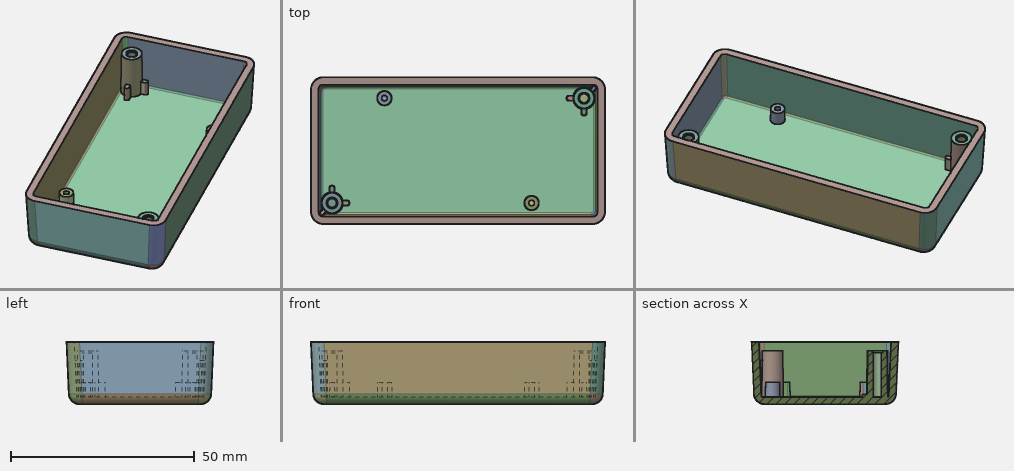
import cadquery as cq
import math

length = 80.0
width = 40.0
height = 17.0
wall = 2.1
floor = 2.0
root = floor / 2
wall_draft = 2.5
corner_radius = 3.5
bottom_radius = 3.0
inner_corner_radius = 1.2
inner_bottom_radius = 0.5

post_draft = 1.0
post_y = 14.2
tall_post_x = 34.2
tall_post_top = 14.6
tall_post_diameter = 5.5
short_post_x = 20.0
short_post_top = 6.0
short_post_diameter = 3.8

tall_hole_diameter = 2.5
tall_counterbore_diameter = 3.0
tall_counterbore_depth = 0.5
short_hole_diameter = 1.5

rib_width = 1.5
rib_reach = 4.8
low_rib_top = short_post_top
corner_rib_top = 12.0
rib_draft = 1.5
low_rib_turns = (135, 225)


def tapered_block(size_x, size_y, bottom, edge_radius, floor_radius):
    """Block from the rim down to `bottom`, narrowing downward, with rounded edges."""
    block = (
        cq.Workplane("XY", origin=(0, 0, height))
        .rect(size_x, size_y)
        .extrude(bottom - height, taper=wall_draft)
    )
    block = block.edges("not(#Z)").fillet(edge_radius)
    return block.faces("<Z").edges().fillet(floor_radius)


def make_tray():
    outside = tapered_block(length, width, 0, corner_radius, bottom_radius)
    cavity = tapered_block(
        length - 2 * wall, width - 2 * wall, floor, inner_corner_radius, inner_bottom_radius
    )
    return outside.cut(cavity)


def make_post(x, y, top, top_diameter):
    """Round post from the root level up to `top`, drafted from its top diameter."""
    top_radius = top_diameter / 2
    root_radius = top_radius + (top - root) * math.tan(math.radians(post_draft))
    cone = cq.Solid.makeCone(root_radius, top_radius, top - root, pnt=cq.Vector(x, y, root))
    return cq.Workplane(cone)


def make_rib(x, y, angle, top):
    """Rib up to `top`, running from the post axis at (x, y) in the direction `angle`."""
    straight = rib_reach - rib_width / 2
    rib = (
        cq.Workplane("XY", origin=(0, 0, root))
        .moveTo(0, -rib_width / 2)
        .lineTo(straight, -rib_width / 2)
        .threePointArc((rib_reach, 0), (straight, rib_width / 2))
        .lineTo(0, rib_width / 2)
        .close()
        .extrude(top - root, taper=rib_draft)
    )
    return rib.rotate((0, 0, 0), (0, 0, 1), angle).translate((x, y, 0))


def make_hole(x, y, bottom, top, diameter):
    return cq.Workplane("XY", origin=(x, y, bottom)).circle(diameter / 2).extrude(top - bottom)


result = make_tray()

for side, corner_angle in ((1, 45), (-1, 225)):
    x = side * tall_post_x
    y = side * post_y
    result = result.union(make_post(x, y, tall_post_top, tall_post_diameter))
    result = result.union(make_rib(x, y, corner_angle, corner_rib_top))
    for turn in low_rib_turns:
        result = result.union(make_rib(x, y, corner_angle + turn, low_rib_top))
    result = result.cut(make_hole(x, y, floor, tall_post_top, tall_hole_diameter))
    counterbore_floor = tall_post_top - tall_counterbore_depth
    result = result.cut(make_hole(x, y, counterbore_floor, tall_post_top, tall_counterbore_diameter))

for side in (1, -1):
    x = -side * short_post_x
    y = side * post_y
    result = result.union(make_post(x, y, short_post_top, short_post_diameter))
    result = result.cut(make_hole(x, y, floor, short_post_top, short_hole_diameter))